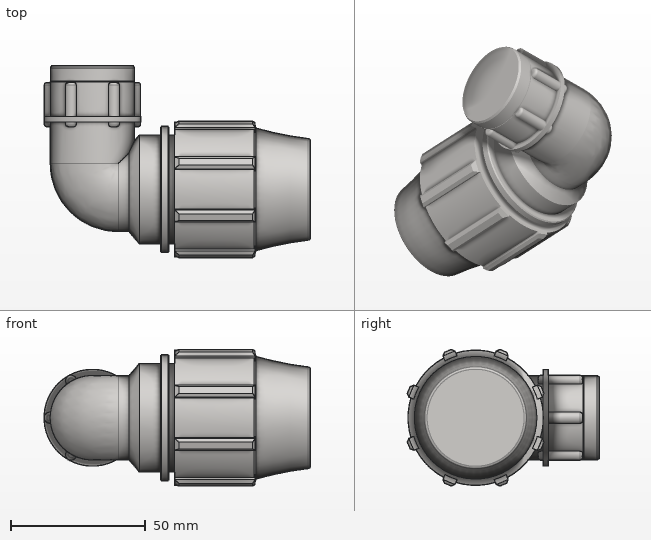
import cadquery as cq
import math


PIPE_RADIUS = 31.4 / 2
BEND_RADIUS = 9.6

END_X = 81.0
CONE_START_X = 13.6
COLLAR_START_X = 17.4
FLANGE_START_X = 25.4
FLANGE_END_X = 28.4
NUT_START_X = 30.5
NUT_END_X = 60.8
COLLAR_RADIUS = 40.5 / 2
FLANGE_RADIUS = 46.9 / 2
FLANGE_CHAMFER = 0.4
NUT_RADIUS = 25.2
NUT_CHAMFER_LENGTH = 0.8

NOSE_START_RADIUS = 22.8
NOSE_TIP_RADIUS = 18.9
NOSE_SAG = 0.4
NOSE_EDGE_ROUND = 0.9

GRIP_COUNT = 8
GRIP_END_X = 60.4
GRIP_ROOT_RADIUS = 23.8
GRIP_TIP_RADIUS = 26.9
GRIP_WIDTH = 4.9
GRIP_BEVEL = 1.1
GRIP_FRONT_BEVEL = 1.7
GRIP_REAR_BEVEL = 0.9

BRANCH_END_Y = 45.95
BRANCH_CHAMFER_LENGTH = 0.8
BRANCH_CHAMFER_DEPTH = 0.5
GROOVE_Y = 39.9
GROOVE_WIDTH = 0.4
GROOVE_DEPTH = 0.2
RING_START_Y = 25.1
RING_END_Y = 27.0
RING_RADIUS = 36.0 / 2

BAR_COUNT = 6
BAR_RADIUS = 2.1
BAR_CENTRE_RADIUS = 15.8
BAR_START_Y = 23.3
BAR_END_Y = 39.7
BAR_END_FILLET = 1.0


def rod_along_x(radius, start, end):
    return cq.Workplane("YZ", origin=(start, 0, 0)).circle(radius).extrude(end - start)


def rod_along_y(radius, start, end):
    return cq.Workplane("XZ", origin=(0, start, 0)).circle(radius).extrude(start - end)


def make_bend():
    """Quarter-turn elbow; the part of the pipe section past the turning axis is left out."""
    half_chord = math.sqrt(PIPE_RADIUS**2 - BEND_RADIUS**2)
    section = (
        cq.Workplane("XZ", origin=(0, BEND_RADIUS, 0))
        .moveTo(BEND_RADIUS, half_chord)
        .threePointArc((-PIPE_RADIUS, 0), (BEND_RADIUS, -half_chord))
        .close()
    )
    return section.revolve(90, (BEND_RADIUS, 0, 0), (BEND_RADIUS, 1, 0))


def make_collar():
    """Pipe stub, conical shoulder and collar, turned about X."""
    profile = (
        cq.Workplane("XY")
        .moveTo(BEND_RADIUS, 0)
        .lineTo(BEND_RADIUS, PIPE_RADIUS)
        .lineTo(CONE_START_X, PIPE_RADIUS)
        .lineTo(COLLAR_START_X, COLLAR_RADIUS)
        .lineTo(NUT_START_X, COLLAR_RADIUS)
        .lineTo(NUT_START_X, 0)
        .close()
    )
    return profile.revolve(360, (0, 0, 0), (1, 0, 0))


def make_nose():
    """Tapered nose with a hollow side and a rounded tip edge, turned about X."""
    tip_x = END_X - NOSE_EDGE_ROUND
    arc_middle = (
        (NUT_END_X + tip_x) / 2,
        (NOSE_START_RADIUS + NOSE_TIP_RADIUS) / 2 - NOSE_SAG,
    )
    round_middle = (
        tip_x + NOSE_EDGE_ROUND * math.sin(math.pi / 4),
        NOSE_TIP_RADIUS - NOSE_EDGE_ROUND * (1 - math.cos(math.pi / 4)),
    )
    profile = (
        cq.Workplane("XY")
        .moveTo(NUT_END_X, 0)
        .lineTo(NUT_END_X, NOSE_START_RADIUS)
        .threePointArc(arc_middle, (tip_x, NOSE_TIP_RADIUS))
        .threePointArc(round_middle, (END_X, NOSE_TIP_RADIUS - NOSE_EDGE_ROUND))
        .lineTo(END_X, 0)
        .close()
    )
    return profile.revolve(360, (0, 0, 0), (1, 0, 0))


def make_grip(angle):
    """Block along X with a bevelled top, turned about X to the given angle."""
    length = GRIP_END_X - NUT_START_X
    middle_x = (GRIP_END_X + NUT_START_X) / 2
    top_length = length - GRIP_FRONT_BEVEL - GRIP_REAR_BEVEL
    top_shift = (GRIP_FRONT_BEVEL - GRIP_REAR_BEVEL) / 2
    bevel_radius = GRIP_TIP_RADIUS - GRIP_BEVEL
    block = (
        cq.Workplane("XY", origin=(middle_x, 0, GRIP_ROOT_RADIUS))
        .rect(length, GRIP_WIDTH)
        .extrude(bevel_radius - GRIP_ROOT_RADIUS)
    )
    top = (
        cq.Workplane("XY", origin=(middle_x, 0, bevel_radius))
        .rect(length, GRIP_WIDTH)
        .workplane(offset=GRIP_BEVEL)
        .center(top_shift, 0)
        .rect(top_length, GRIP_WIDTH - 2 * GRIP_BEVEL)
        .loft(ruled=True)
    )
    return block.union(top).rotate((0, 0, 0), (1, 0, 0), angle)


def make_nut():
    """Large nut chamfered down to the nose; its grips straddle Y and Z by half a pitch."""
    nut = (
        rod_along_x(NUT_RADIUS, NUT_START_X, NUT_END_X)
        .faces(">X")
        .chamfer(NUT_CHAMFER_LENGTH, NUT_RADIUS - NOSE_START_RADIUS)
    )
    pitch = 360 / GRIP_COUNT
    for index in range(GRIP_COUNT):
        nut = nut.union(make_grip((index + 0.5) * pitch))
    return nut


def make_bar(angle):
    """Round-ended bar parallel to the branch, its centre on a circle about Y."""
    bar = rod_along_y(BAR_RADIUS, BAR_START_Y, BAR_END_Y).edges().fillet(BAR_END_FILLET)
    return bar.translate((BAR_CENTRE_RADIUS, 0, 0)).rotate((0, 0, 0), (0, 1, 0), angle)


def make_branch():
    """Branch pipe with a chamfered mouth, a fine groove, a ring and bars around it."""
    branch = (
        rod_along_y(PIPE_RADIUS, BEND_RADIUS, BRANCH_END_Y)
        .faces(">Y")
        .chamfer(BRANCH_CHAMFER_LENGTH, BRANCH_CHAMFER_DEPTH)
    )
    groove = rod_along_y(PIPE_RADIUS, GROOVE_Y, GROOVE_Y + GROOVE_WIDTH).cut(
        rod_along_y(PIPE_RADIUS - GROOVE_DEPTH, GROOVE_Y, GROOVE_Y + GROOVE_WIDTH)
    )
    branch = branch.cut(groove).union(rod_along_y(RING_RADIUS, RING_START_Y, RING_END_Y))
    for index in range(BAR_COUNT):
        branch = branch.union(make_bar(index * 360 / BAR_COUNT))
    return branch


flange = rod_along_x(FLANGE_RADIUS, FLANGE_START_X, FLANGE_END_X).edges().chamfer(FLANGE_CHAMFER)

result = (
    make_bend()
    .union(make_collar())
    .union(make_branch())
    .union(flange)
    .union(make_nut())
    .union(make_nose())
)